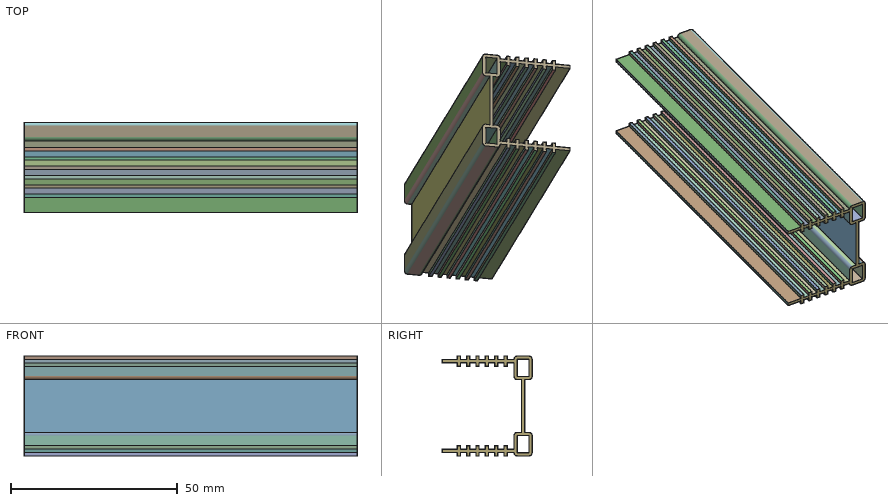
import cadquery as cq

length = 100.0
depth = 27.0
height = 30.0

wall = 1.0
tube_depth = 5.5
tube_height = 7.1
corner_radius = 1.0

flange_thickness = 1.0
fin_count = 6
fin_height = 3.1
fin_width = 1.0
fin_pitch = 2.8
first_fin_offset = 8.0

back_y = depth / 2
front_y = -depth / 2
top_z = height / 2
tube_y = back_y - tube_depth / 2
tube_z = top_z - tube_height / 2
flange_z = top_z - fin_height / 2


def bar(y_size, z_size, y, z):
    """Full-length rectangular bar centred at (y, z)."""
    return cq.Workplane("XY").box(length, y_size, z_size).translate((0, y, z))


def tube_outside():
    return bar(tube_depth, tube_height, tube_y, tube_z).edges("|X").fillet(corner_radius)


def tube_bore():
    return bar(tube_depth - 2 * wall, tube_height - 2 * wall, tube_y, tube_z)


def finned_flange():
    root_y = back_y - tube_depth + wall / 2
    flange = bar(root_y - front_y, flange_thickness, (root_y + front_y) / 2, flange_z)
    for i in range(fin_count):
        fin_y = back_y - first_fin_offset - i * fin_pitch
        flange = flange.union(bar(fin_width, fin_height, fin_y, flange_z))
    return flange


upper = tube_outside().union(finned_flange()).cut(tube_bore())
lower = upper.mirror("XY")

web_height = height - 2 * (tube_height - wall / 2)
web = bar(wall, web_height, tube_y, 0)

result = upper.union(web).union(lower)